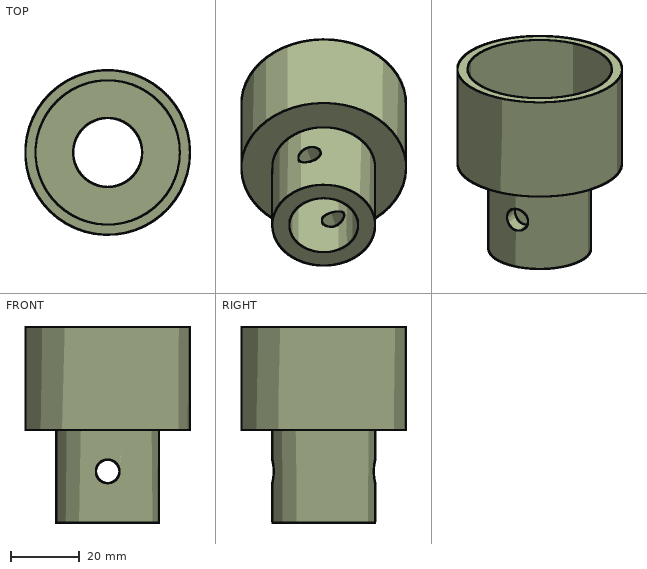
import cadquery as cq

total_height = 57.0

cup_diameter = 48.0
cup_bore_diameter = 42.0
cup_height = 30.0
cup_depth = 27.0

stem_diameter = 30.0
stem_bore_diameter = 20.0
stem_height = total_height - cup_height

pin_hole_diameter = 6.8
pin_hole_height = 15.0


def cylinder(diameter, bottom, height):
    """Vertical cylinder on the part axis."""
    return cq.Workplane("XY").workplane(offset=bottom).circle(diameter / 2).extrude(height)


body = cylinder(stem_diameter, 0, stem_height).union(cylinder(cup_diameter, stem_height, cup_height))

cup_cavity = cylinder(cup_bore_diameter, total_height - cup_depth, cup_depth)
axial_bore = cylinder(stem_bore_diameter, 0, total_height)

pin_hole = (
    cq.Workplane("XZ")
    .center(0, pin_hole_height)
    .circle(pin_hole_diameter / 2)
    .extrude(stem_diameter, both=True)
)

result = body.cut(cup_cavity).cut(axial_bore).cut(pin_hole)